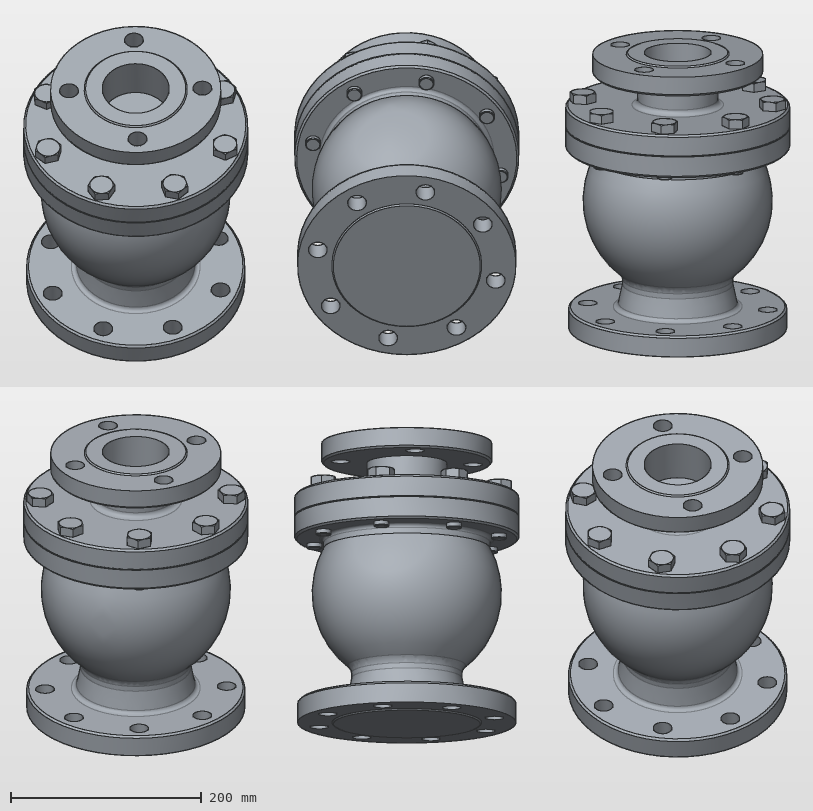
import cadquery as cq
import math

HEIGHT = 301.0
EDGE_TOLERANCE = 0.15

EDGE_CHAMFER = 2.0
FLANGE_HOLE_DIA = 19.5
RAISED_FACE_HEIGHT = 1.5
RAISED_FACE_FLARE = 1.5

OUTLET_DIA = 229.0
OUTLET_TOP = 24.0
OUTLET_FACE_DIA = 154.0
OUTLET_BOLT_CIRCLE_DIA = 190.5
OUTLET_HOLES = 8

THROAT_DIA = 116.0
THROAT_BOTTOM = 48.8
NECK_BASE_DIA = 126.5
NECK_FILLET = 5.5
THROAT_FILLET = 10.0

BODY_DIA = 198.7
BODY_CENTER = 140.0
COLLAR_DIA = 175.0
COLLAR_FILLET = 4.2

COVER_DIA = 235.0
COVER_BOTTOM = 197.5
COVER_TOP = 244.0
COVER_SPLIT = 221.0
SPLIT_GAP = 1.0
SPLIT_GAP_DEPTH = 1.5

BOLT_COUNT = 8
BOLT_CIRCLE_DIA = 200.8
HEX_SIDES = 6
BOLT_HEAD_FLATS = 24.5
BOLT_HEAD_HEIGHT = 10.0
BOLT_HEAD_TWIST = -7.5
BOLT_DIA = 16.0
BOLT_TIP_LENGTH = 5.0
BOLT_TIP_CHAMFER = 1.0

PIPE_DIA = 84.0
PIPE_FILLET = 6.0
INLET_DIA = 178.5
INLET_BOTTOM = 278.5
INLET_FACE_DIA = 105.0
INLET_BOLT_CIRCLE_DIA = 140.0
INLET_HOLES = 4
BORE_DIA = 70.0
BORE_DEPTH = 44.8


def disc(diameter, bottom, top):
    """Upright cylinder on the Z axis."""
    return cq.Workplane("XY").workplane(offset=bottom).circle(diameter / 2).extrude(top - bottom)


def cone(bottom_dia, top_dia, bottom, top):
    """Upright truncated cone on the Z axis."""
    return (
        cq.Workplane("XZ")
        .moveTo(0, bottom)
        .lineTo(bottom_dia / 2, bottom)
        .lineTo(top_dia / 2, top)
        .lineTo(0, top)
        .close()
        .revolve(360, (0, 0, 0), (0, 1, 0))
    )


def bolt_angles(count):
    """Angles in degrees of a bolt circle that straddles the X and Y axes."""
    step = 360 / count
    return [step * (index + 0.5) for index in range(count)]


def on_circle(diameter, angle):
    """Point at an angle in degrees on a circle about the Z axis."""
    radians = math.radians(angle)
    return (diameter / 2 * math.cos(radians), diameter / 2 * math.sin(radians))


def flange_holes(count, circle_dia, bottom, top):
    """Cutter for the through holes of a pipe flange."""
    points = [on_circle(circle_dia, angle) for angle in bolt_angles(count)]
    return (
        cq.Workplane("XY")
        .workplane(offset=bottom)
        .pushPoints(points)
        .circle(FLANGE_HOLE_DIA / 2)
        .extrude(top - bottom)
    )


def ring_edge(diameter, height):
    """Selector for the circular edge of a given diameter at a given height."""
    reach = diameter / 2 + EDGE_TOLERANCE
    return cq.selectors.BoxSelector(
        (-reach, -reach, height - EDGE_TOLERANCE),
        (reach, reach, height + EDGE_TOLERANCE),
        boundingbox=True,
    )


def make_body():
    """Outlet neck, spherical body and collar as one revolved profile."""
    body_radius = BODY_DIA / 2
    throat_radius = THROAT_DIA / 2
    collar_radius = COLLAR_DIA / 2
    sphere_bottom = BODY_CENTER - math.sqrt(body_radius**2 - throat_radius**2)
    sphere_top = BODY_CENTER + math.sqrt(body_radius**2 - collar_radius**2)
    body = (
        cq.Workplane("XZ")
        .moveTo(0, OUTLET_TOP)
        .lineTo(NECK_BASE_DIA / 2, OUTLET_TOP)
        .lineTo(throat_radius, THROAT_BOTTOM)
        .lineTo(throat_radius, sphere_bottom)
        .threePointArc((body_radius, BODY_CENTER), (collar_radius, sphere_top))
        .lineTo(collar_radius, COVER_BOTTOM)
        .lineTo(0, COVER_BOTTOM)
        .close()
        .revolve(360, (0, 0, 0), (0, 1, 0))
    )
    return body.edges(ring_edge(THROAT_DIA, sphere_bottom)).fillet(THROAT_FILLET)


def make_outlet_flange():
    """Bottom flange with a conical raised face."""
    face = cone(OUTLET_FACE_DIA, OUTLET_FACE_DIA + 2 * RAISED_FACE_FLARE, 0, RAISED_FACE_HEIGHT)
    plate = disc(OUTLET_DIA, RAISED_FACE_HEIGHT, OUTLET_TOP).faces(">Z").edges().chamfer(EDGE_CHAMFER)
    return plate.union(face)


def make_cover_flanges():
    """Two bolted flanges with a thin groove at their joint."""
    plates = disc(COVER_DIA, COVER_BOTTOM, COVER_TOP).faces("<Z or >Z").edges().chamfer(EDGE_CHAMFER)
    groove_bottom = COVER_SPLIT - SPLIT_GAP / 2
    groove_top = COVER_SPLIT + SPLIT_GAP / 2
    groove = disc(COVER_DIA + SPLIT_GAP_DEPTH, groove_bottom, groove_top).cut(
        disc(COVER_DIA - 2 * SPLIT_GAP_DEPTH, groove_bottom, groove_top)
    )
    return plates.cut(groove)


def make_inlet_flange():
    """Top flange with a conical raised face."""
    face_bottom = HEIGHT - RAISED_FACE_HEIGHT
    plate = disc(INLET_DIA, INLET_BOTTOM, face_bottom).faces("<Z").edges().chamfer(EDGE_CHAMFER)
    face = cone(INLET_FACE_DIA + 2 * RAISED_FACE_FLARE, INLET_FACE_DIA, face_bottom, HEIGHT)
    return plate.union(face)


def make_bolt(angle):
    """Hex head above the cover and shank tip below it, as a list."""
    corners_dia = BOLT_HEAD_FLATS / math.cos(math.pi / HEX_SIDES)
    head = cq.Workplane("XY").polygon(HEX_SIDES, corners_dia).extrude(BOLT_HEAD_HEIGHT)
    head = head.rotate((0, 0, 0), (0, 0, 1), angle + BOLT_HEAD_TWIST)
    corner_drop = (corners_dia - BOLT_HEAD_FLATS) / 2
    crown = disc(corners_dia, 0, BOLT_HEAD_HEIGHT).faces(">Z").chamfer(corner_drop / 2, corner_drop)
    head = head.intersect(crown).translate((0, 0, COVER_TOP))
    tip = disc(BOLT_DIA, COVER_BOTTOM - BOLT_TIP_LENGTH, COVER_BOTTOM)
    tip = tip.faces("<Z").edges().chamfer(BOLT_TIP_CHAMFER)
    x, y = on_circle(BOLT_CIRCLE_DIA, angle)
    return [head.translate((x, y, 0)), tip.translate((x, y, 0))]


valve = make_outlet_flange()
valve = valve.union(make_body())
valve = valve.union(make_cover_flanges())
valve = valve.union(disc(PIPE_DIA, COVER_TOP, INLET_BOTTOM))
valve = valve.union(make_inlet_flange())

valve = valve.edges(ring_edge(NECK_BASE_DIA, OUTLET_TOP)).fillet(NECK_FILLET)
valve = valve.edges(ring_edge(COLLAR_DIA, COVER_BOTTOM)).fillet(COLLAR_FILLET)
valve = valve.edges(ring_edge(PIPE_DIA, COVER_TOP)).fillet(PIPE_FILLET)

for bolt_angle in bolt_angles(BOLT_COUNT):
    for bolt_part in make_bolt(bolt_angle):
        valve = valve.union(bolt_part)

valve = valve.cut(disc(BORE_DIA, HEIGHT - BORE_DEPTH, HEIGHT))
valve = valve.cut(flange_holes(OUTLET_HOLES, OUTLET_BOLT_CIRCLE_DIA, 0, OUTLET_TOP))
valve = valve.cut(flange_holes(INLET_HOLES, INLET_BOLT_CIRCLE_DIA, INLET_BOTTOM, HEIGHT))

result = valve